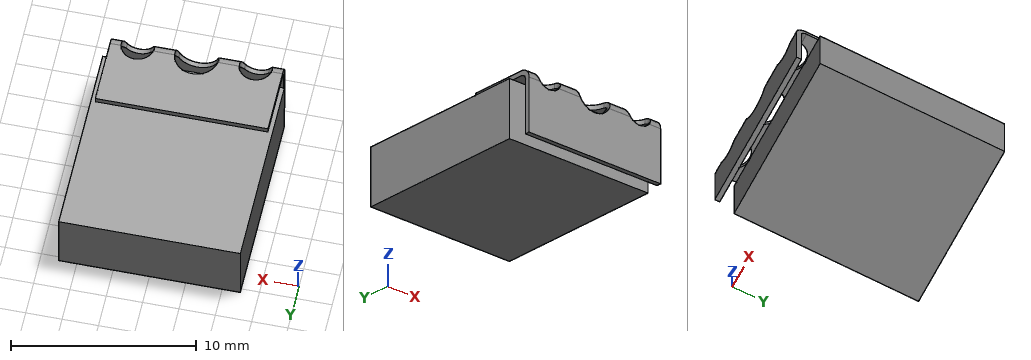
import cadquery as cq
import math

block_width = 10.0
block_length = 11.2
block_height = 3.6

overall_length = 12.5
sheet = 0.3
cover_width = 9.5
cover_length = 4.32
bend_inner = sheet
bend_outer = bend_inner + sheet
bend_neutral = 0.5

centre_hole_radius = 1.2
side_hole_radius = 0.9
side_hole_spacing = 3.25
hole_past_bend_line = 0.18
cutter_margin = 0.08
bend_sections = 13

front = -overall_length / 2
back = overall_length / 2
top = block_height + sheet
bend_y = front + bend_outer
bend_z = top - bend_outer
bend_length = bend_neutral * math.pi / 2


def span_box(width, y_range, z_range, x=0):
    """Box centred on x that fills the given Y and Z ranges."""
    length = y_range[1] - y_range[0]
    height = z_range[1] - z_range[0]
    base = cq.Workplane("XY", origin=(x, y_range[0], z_range[0]))
    return base.box(width, length, height, centered=(True, False, False))


def bend_point(radius, angle):
    """Point (y, z) on the bend, turned by an angle from the top flange toward the front flange."""
    return (bend_y - radius * math.sin(angle), bend_z + radius * math.cos(angle))


def make_cover():
    half_bend = math.pi / 4
    cover_back = front + cover_length
    return (
        cq.Workplane("YZ", origin=(-cover_width / 2, 0, 0))
        .moveTo(front, 0)
        .lineTo(front, bend_z)
        .threePointArc(bend_point(bend_outer, half_bend), (bend_y, top))
        .lineTo(cover_back, top)
        .lineTo(cover_back, block_height)
        .lineTo(bend_y, block_height)
        .threePointArc(bend_point(bend_inner, half_bend), (front + sheet, bend_z))
        .lineTo(front + sheet, 0)
        .close()
        .extrude(cover_width)
    )


def bend_section(x, radius, angle):
    """Radial rectangle across the bend, as wide as the folded hole is at this angle."""
    along = bend_neutral * angle - hole_past_bend_line
    half_width = math.sqrt(radius**2 - along**2)
    inner_y, inner_z = bend_point(bend_inner - cutter_margin, angle)
    outer_y, outer_z = bend_point(bend_outer + cutter_margin, angle)
    corners = [
        cq.Vector(x - half_width, inner_y, inner_z),
        cq.Vector(x + half_width, inner_y, inner_z),
        cq.Vector(x + half_width, outer_y, outer_z),
        cq.Vector(x - half_width, outer_y, outer_z),
    ]
    return cq.Wire.makePolygon(corners, close=True)


def cut_folded_hole(cover, x, radius):
    """Cut one round hole that starts in the top flange, follows the bend and ends in the front flange."""
    diameter = 2 * radius
    cutter_depth = sheet + 2 * cutter_margin

    top_flange = span_box(diameter, (bend_y, bend_y + diameter), (0, top + cutter_margin), x)
    top_cut = (
        cq.Workplane("XY", origin=(x, bend_y - hole_past_bend_line, block_height - cutter_margin))
        .circle(radius)
        .extrude(cutter_depth)
        .intersect(top_flange)
    )

    front_centre_z = bend_z + bend_length - hole_past_bend_line
    front_flange = span_box(diameter, (front - cutter_margin, bend_y), (0, bend_z), x)
    front_cut = (
        cq.Workplane("XZ", origin=(x, front + sheet + cutter_margin, front_centre_z))
        .circle(radius)
        .extrude(cutter_depth)
        .intersect(front_flange)
    )

    angle_step = math.pi / 2 / (bend_sections - 1)
    sections = [bend_section(x, radius, i * angle_step) for i in range(bend_sections)]
    bend_cut = cq.Workplane(cq.Solid.makeLoft(sections))

    return cover.cut(top_cut).cut(front_cut).cut(bend_cut)


block = span_box(block_width, (back - block_length, back), (0, block_height))

cover = cut_folded_hole(make_cover(), 0, centre_hole_radius)
for side in (-1, 1):
    cover = cut_folded_hole(cover, side * side_hole_spacing, side_hole_radius)

result = block.union(cover)